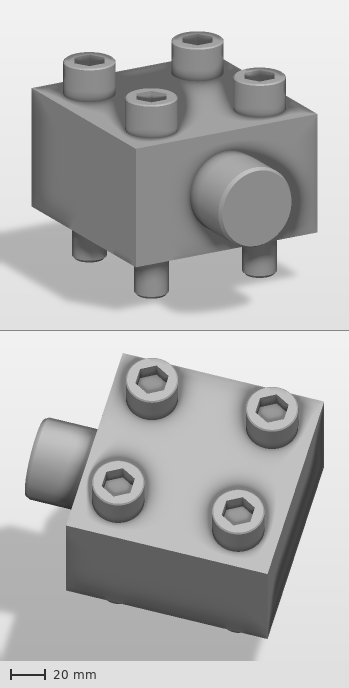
import cadquery as cq
import math

block_side = 120.0
block_height = 72.0

overall_length = 155.0
stub_diameter = 48.4
stub_end_diameter = 45.5
stub_bevel_length = 2.5
stub_length = overall_length - block_side

spigot_diameter = 76.0
spigot_height = 4.0

screw_spacing = 71.5
head_diameter = 30.0
head_height = 20.0
head_top_diameter = 28.5
shank_diameter = 20.0
shank_chamfer = 1.7
overall_height = 120.0
shank_projection = overall_height - block_height - head_height
hex_across_flats = 17.0
hex_depth = 10.0


def make_stub():
    """Pipe stub at mid height of the block, with a bevelled outer end."""
    bevel_depth = (stub_diameter - stub_end_diameter) / 2
    return (
        cq.Workplane("YZ", origin=(block_side / 2, 0, block_height / 2))
        .circle(stub_diameter / 2)
        .extrude(stub_length)
        .faces(">X")
        .edges()
        .chamfer(stub_bevel_length, bevel_depth)
    )


def make_head():
    """Cylindrical screw head with a hexagon socket pointing along Y."""
    head_chamfer = (head_diameter - head_top_diameter) / 2
    hex_across_corners = hex_across_flats / math.cos(math.pi / 6)
    head = (
        cq.Workplane("XY", origin=(0, 0, block_height))
        .circle(head_diameter / 2)
        .extrude(head_height)
        .faces(">Z")
        .edges()
        .chamfer(head_chamfer)
    )
    socket = (
        cq.Workplane("XY", origin=(0, 0, block_height + head_height - hex_depth))
        .polygon(6, hex_across_corners)
        .extrude(hex_depth)
        .rotate((0, 0, 0), (0, 0, 1), 90)
    )
    return head.cut(socket)


def make_shank():
    """Screw end below the block, chamfered at its tip."""
    return (
        cq.Workplane("XY")
        .circle(shank_diameter / 2)
        .extrude(-shank_projection)
        .faces("<Z")
        .edges()
        .chamfer(shank_chamfer)
    )


block = cq.Workplane("XY").box(block_side, block_side, block_height, centered=(True, True, False))
spigot = cq.Workplane("XY").circle(spigot_diameter / 2).extrude(-spigot_height)
result = block.union(make_stub()).union(spigot)

for x_side in (-1, 1):
    for y_side in (-1, 1):
        place = (x_side * screw_spacing / 2, y_side * screw_spacing / 2, 0)
        result = result.union(make_head().translate(place))
        result = result.union(make_shank().translate(place))